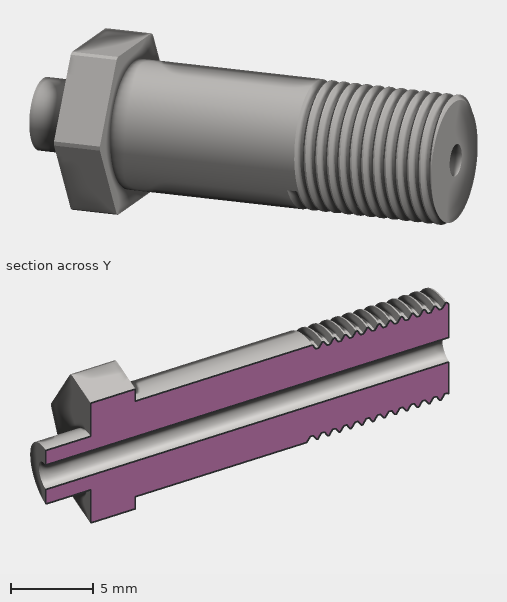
import cadquery as cq
import math

nose_length = 3.0
hex_thickness = 3.0
shank_length = 21.0
total_length = nose_length + hex_thickness + shank_length

nose_diameter = 4.5
hex_across_flats = 10.0
hex_sides = 6
hex_corner_diameter = 11.4
shank_diameter = 8.0
bore_diameter = 2.0

thread_pitch = 0.75
flank_angle = 30.0
thread_depth = 5 / 8 * thread_pitch * math.cos(math.radians(flank_angle))
root_width = thread_pitch / 4
groove_start_x = 17.68
groove_start_angle = -60.0
cutter_overhang = 0.04
blank_excess = 4 * thread_pitch


def cylinder_along_x(diameter, start, length):
    """Cylinder on the X axis."""
    return cq.Workplane("YZ", origin=(start, 0, 0)).circle(diameter / 2).extrude(length)


def hex_flange():
    """Hexagon with two flats facing +Z and -Z and corners trimmed to a circle."""
    across_corners = hex_across_flats / math.cos(math.pi / hex_sides)
    flange = cq.Workplane("YZ", origin=(nose_length, 0, 0)).polygon(hex_sides, across_corners)
    flange = flange.extrude(hex_thickness)
    return flange.intersect(cylinder_along_x(hex_corner_diameter, nose_length, hex_thickness))


def thread_groove():
    """Trapezoidal groove swept along a helix about Z, then turned onto the X axis."""
    root_radius = shank_diameter / 2 - thread_depth
    outer_radius = shank_diameter / 2 + cutter_overhang
    half_root = root_width / 2
    half_mouth = half_root + (outer_radius - root_radius) * math.tan(math.radians(flank_angle))

    helix_height = total_length - groove_start_x + thread_pitch
    helix = cq.Wire.makeHelix(thread_pitch, helix_height, root_radius)
    section = cq.Workplane("XZ").polyline([
        (root_radius, -half_root),
        (outer_radius, -half_mouth),
        (outer_radius, half_mouth),
        (root_radius, half_root),
    ]).close()
    groove = section.sweep(cq.Workplane(helix), isFrenet=True)

    groove = groove.rotate((0, 0, 0), (0, 1, 0), 90)
    groove = groove.rotate((0, 0, 0), (1, 0, 0), groove_start_angle)
    return groove.translate((groove_start_x, 0, 0))


def threaded_shank():
    """Shank threaded on an overlong blank, which is then trimmed to length."""
    start = nose_length + hex_thickness
    blank = cylinder_along_x(shank_diameter, start, shank_length + blank_excess)
    offcut = cylinder_along_x(2 * shank_diameter, total_length, 2 * blank_excess)
    return blank.cut(thread_groove()).cut(offcut)


nose = cylinder_along_x(nose_diameter, 0, nose_length)
bore = cylinder_along_x(bore_diameter, 0, total_length)

result = nose.union(hex_flange()).union(threaded_shank()).cut(bore)